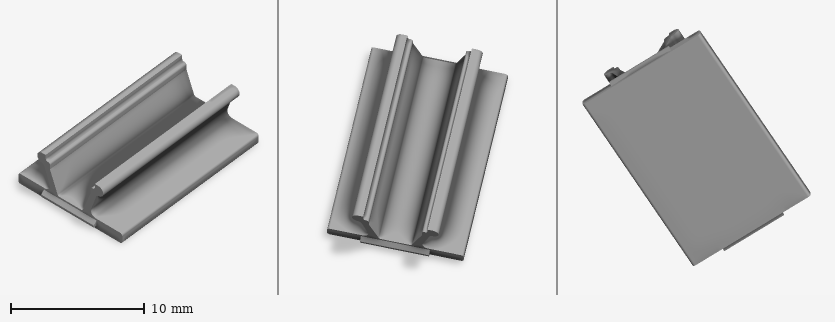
import cadquery as cq

total_length = 16.0
tab_projection = 0.32
body_length = total_length - 2 * tab_projection
base_width = 10.5
base_height = 1.0
base_corner_radius = 0.22

total_height = 4.37
head_radius = 0.5
head_outer_offset = 3.33
head_center_offset = head_outer_offset - head_radius
head_center_height = total_height - head_radius
head_inner_offset = 2.48

step_offset = 2.05
step_height = 3.8
step_bottom_height = 3.18
inner_foot_offset = 1.23
outer_foot_offset = 1.89
outer_lean = 0.33
outer_top_offset = outer_foot_offset + outer_lean * (head_center_height - base_height)

outer_foot_radius = 0.5
inner_foot_radius = 0.2
neck_radius = 0.32
step_inside_radius = 0.2
step_outside_radius = 0.2

tab_width = 5.31
tab_bottom = 0.32
tab_nose_top = 0.53
tab_root_top = 0.82


def extrude_along_body(sketch):
    """Extrude an XZ outline symmetrically along Y."""
    return sketch.extrude(body_length / 2, both=True)


def make_base():
    base = cq.Workplane("XY").box(base_width, body_length, base_height, centered=(True, True, False))
    return base.edges("|Y").fillet(base_corner_radius)


def make_leg():
    """Leg on the +X side, with its foot on top of the base."""
    stem = extrude_along_body(
        cq.Workplane("XZ").polyline([
            (inner_foot_offset, base_height),
            (step_offset, step_bottom_height),
            (step_offset, step_height),
            (head_inner_offset, step_height),
            (head_inner_offset, head_center_height),
            (outer_top_offset, head_center_height),
            (outer_foot_offset, base_height),
        ]).close()
    )
    head_top = extrude_along_body(
        cq.Workplane("XZ")
        .moveTo(head_inner_offset, head_center_height)
        .lineTo(head_inner_offset, total_height)
        .lineTo(head_center_offset, total_height)
        .lineTo(head_center_offset, head_center_height)
        .close()
    )
    head_round = extrude_along_body(
        cq.Workplane("XZ").center(head_center_offset, head_center_height).circle(head_radius)
    )
    inner_side = cq.Workplane("XY").box(
        head_inner_offset, body_length, total_height, centered=(False, True, False)
    )
    return stem.union(head_top).union(head_round.cut(inner_side)).clean()


def fillet_lengthwise(body, x, z, radius):
    """Round the lengthwise edge closest to the position (x, z)."""
    return body.edges(cq.selectors.NearestToPointSelector((x, 0, z))).fillet(radius)


def neck_position():
    """Where the outer face of the leg enters the underside of the head."""
    gap = outer_top_offset - head_center_offset
    slant_squared = 1 + outer_lean ** 2
    half_b = gap * outer_lean
    drop = (half_b + (half_b ** 2 - slant_squared * (gap ** 2 - head_radius ** 2)) ** 0.5) / slant_squared
    return outer_top_offset - outer_lean * drop, head_center_height - drop


def make_tab():
    """Wedge on the +Y end, sloped on top and flat underneath."""
    end = body_length / 2
    nose = total_length / 2
    return (
        cq.Workplane("YZ")
        .polyline([
            (end, tab_bottom),
            (nose, tab_bottom),
            (nose, tab_nose_top),
            (end, tab_root_top),
        ])
        .close()
        .extrude(tab_width / 2, both=True)
    )


neck_x, neck_z = neck_position()
leg = make_leg()
leg = fillet_lengthwise(leg, neck_x, neck_z, neck_radius)
leg = fillet_lengthwise(leg, head_inner_offset, step_height, step_inside_radius)
leg = fillet_lengthwise(leg, step_offset, step_height, step_outside_radius)

result = make_base().union(leg).union(leg.mirror("YZ"))
for side in (-1, 1):
    result = fillet_lengthwise(result, side * outer_foot_offset, base_height, outer_foot_radius)
    result = fillet_lengthwise(result, side * inner_foot_offset, base_height, inner_foot_radius)

tab = make_tab()
result = result.union(tab).union(tab.mirror("XZ"))